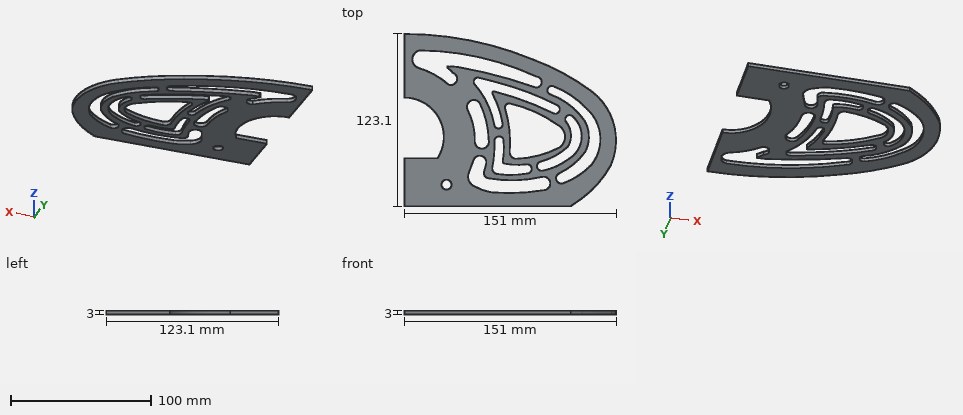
import cadquery as cq

THICKNESS = 3.0

PLATE_WIDTH = 123.07
BOTTOM_Y = -49.5
TOP_Y = BOTTOM_Y + PLATE_WIDTH
BAY_RADIUS = 28.0
BAY_FLOOR_Y = -15.0
BAY_FLOOR_X = (BAY_RADIUS**2 - BAY_FLOOR_Y**2) ** 0.5
BAY_ARC_MIDDLE = (BAY_RADIUS * 0.5**0.5, BAY_RADIUS * 0.5**0.5)

BOLT_HOLE_DIAMETER = 7.0
BOLT_HOLE_CENTRE = (30.0, -34.0)

TOP_LEFT_CORNER = (0, TOP_Y)
CURVED_EDGE = [
    ((47.0, 68.9), (91.4, 55.4)),
    ((113.5, 45.4), (133.0, 33.0)),
    ((149.48, 9.0), (147.35, -20.0)),
    ((138.15, -33.2), (126.3, -44.1)),
    ((118.5, BOTTOM_Y),),
]

UPPER_BARBED_SLOT = (
    (10.8, 61.65),
    [
        ((53.55, 56.75), (94.35, 42.9)),
        ((97.75, 38.4), (92.7, 35.65)),
        ((65.8, 43.95), (38.0, 50.0)),
        ((34.8, 50.3), (31.6, 50.2)),
        ((30.4, 49.9), (30.6, 49.3)),
        ((32.7, 47.6), (34.5, 45.7)),
        ((37.2, 39.85), (31.4, 37.5)),
        ((21.1, 44.7), (10.1, 49.3)),
        ((5.7, 55.6), (10.8, 61.65)),
    ],
)
MIDDLE_BARBED_SLOT = (
    (53.0, 42.2),
    [
        ((65.7, 38.95), (78.3, 35.25)),
        ((94.0, 29.5), (109.1, 22.5)),
        ((110.35, 18.3), (106.2, 17.0)),
        ((85.6, 25.85), (64.15, 32.55)),
        ((62.85, 32.1), (62.75, 30.75)),
        ((67.2, 20.45), (69.95, 9.55)),
        ((67.55, 6.15), (64.15, 8.55)),
        ((59.15, 24.0), (50.15, 37.55)),
        ((49.85, 40.9), (53.0, 42.2)),
    ],
)
OUTER_NOSE_SLOT = (
    (106.1, 36.15),
    [
        ((118.9, 29.55), (129.85, 20.2)),
        ((139.55, 1.0), (133.45, -19.65)),
        ((124.15, -27.45), (113.25, -32.95)),
        ((108.5, -30.9), (110.25, -26.05)),
        ((120.55, -19.55), (128.9, -10.75)),
        ((131.65, 0.5), (128.5, 11.65)),
        ((117.7, 22.95), (104.0, 30.45)),
        ((102.2, 34.35), (106.1, 36.15)),
    ],
)
INNER_NOSE_SLOT = (
    (119.65, 14.85),
    [
        ((126.25, -1.1), (117.05, -15.7)),
        ((108.15, -20.95), (98.3, -24.0)),
        ((94.65, -21.45), (97.05, -17.7)),
        ((107.55, -13.5), (116.7, -6.85)),
        ((118.8, 2.1), (115.4, 10.6)),
        ((115.6, 14.65), (119.65, 14.85)),
    ],
)
BAY_SLOT = (
    (53.9, 23.5),
    [
        ((58.25, 11.15), (59.95, -1.9)),
        ((55.85, -8.25), (50.3, -3.15)),
        ((49.15, 8.3), (45.25, 19.15)),
        ((47.3, 25.8), (53.9, 23.5)),
    ],
)
TRIANGULAR_WINDOW = (
    (75.2, 23.8),
    [
        ((92.95, 17.9), (109.2, 8.55)),
        ((114.45, 0.95), (110.6, -7.4)),
        ((95.5, -13.2), (79.55, -15.5)),
        ((76.3, -13.9), (75.2, -10.5)),
        ((74.95, 5.0), (71.85, 20.2)),
        ((72.5, 22.95), (75.2, 23.8)),
    ],
)
INNER_ELBOW_SLOT = (
    (67.0, 0.2),
    [
        ((68.2, 0.2),),
        ((69.7, -0.45), (70.45, -1.9)),
        ((70.85, -9.4), (70.05, -16.85)),
        ((70.4, -18.35), (71.65, -19.15)),
        ((79.4, -20.0), (87.2, -19.6)),
        ((90.7, -22.35), (88.0, -25.9)),
        ((76.95, -27.05), (65.9, -26.3)),
        ((63.4, -24.7), (62.75, -21.8)),
        ((64.05, -12.4), (64.25, -2.9)),
        ((65.15, -0.65), (67.0, 0.2)),
    ],
)
OUTER_ELBOW_SLOT = (
    (58.15, -19.4),
    [
        ((56.75, -24.55),),
        ((57.2, -27.75), (59.9, -29.55)),
        ((79.05, -31.0), (98.15, -28.55)),
        ((103.9, -32.5), (99.4, -37.85)),
        ((80.85, -39.8), (62.2, -39.4)),
        ((56.25, -37.9), (50.65, -35.45)),
        ((46.2, -31.55), (45.95, -25.65)),
        ((49.4, -16.4),),
        ((55.25, -13.7), (58.15, -19.4)),
    ],
)
OPENINGS = [
    UPPER_BARBED_SLOT,
    MIDDLE_BARBED_SLOT,
    OUTER_NOSE_SLOT,
    INNER_NOSE_SLOT,
    BAY_SLOT,
    TRIANGULAR_WINDOW,
    INNER_ELBOW_SLOT,
    OUTER_ELBOW_SLOT,
]


def closed_outline(start, steps):
    """Draw a closed outline of arcs and lines that begins at start."""
    path = cq.Workplane("XY").moveTo(*start)
    for step in steps:
        if len(step) == 1:
            path = path.lineTo(*step[0])
        else:
            path = path.threePointArc(*step)
    return path.close()


def make_plate():
    """Plate with the curved outer edge and the round bay in its left edge."""
    bay_and_straight_edges = [
        ((0, BOTTOM_Y),),
        ((0, BAY_FLOOR_Y),),
        ((BAY_FLOOR_X, BAY_FLOOR_Y),),
        (BAY_ARC_MIDDLE, (0, BAY_RADIUS)),
    ]
    return closed_outline(TOP_LEFT_CORNER, CURVED_EDGE + bay_and_straight_edges).extrude(THICKNESS)


def cut_openings(plate):
    """Cut every slot and window through the plate."""
    for start, steps in OPENINGS:
        plate = plate.cut(closed_outline(start, steps).extrude(THICKNESS))
    return plate


def cut_bolt_hole(plate):
    """Drill the bolt hole through the plate."""
    hole = cq.Workplane("XY").center(*BOLT_HOLE_CENTRE).circle(BOLT_HOLE_DIAMETER / 2).extrude(THICKNESS)
    return plate.cut(hole)


result = cut_bolt_hole(cut_openings(make_plate()))